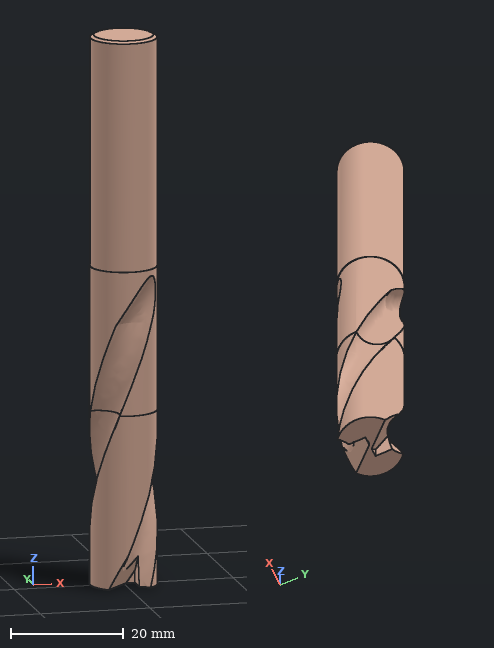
import cadquery as cq
import math

total_length = 100.0
shank_diameter = 12.0
cutter_diameter = 12.1
body_top = 58.0
joint_height = 31.8
shank_chamfer_width = 0.7
shank_chamfer_height = 0.4

flute_count = 2
flute_pitch = 95.0
flute_radius = 3.9
core_radius = 3.0
flute_start_angle = 95.0
helix_top = 48.1
runout_top = 56.8
runout_turn = 34.0
cut_margin = 1.0

gash_heel = cq.Vector(-3.8, -4.7, 0)
gash_inner = cq.Vector(2.1, 1.8, 0)
gash_crest = cq.Vector(-0.9, -5.8, 5.5)

cutter_radius = cutter_diameter / 2
flute_center_radius = core_radius + flute_radius
runout_center_radius = cutter_radius + flute_radius
flute_spacing = 360 / flute_count


def turn_at(height):
    """Turn of the flute helix between the tip and a height, in degrees."""
    return 360 * height / flute_pitch


def flute_circle(height, radius, angle):
    """Section circle of a flute, placed by its polar position."""
    x = radius * math.cos(math.radians(angle))
    y = radius * math.sin(math.radians(angle))
    return cq.Workplane("XY", origin=(0, 0, height)).moveTo(x, y).circle(flute_radius)


def make_helix_cutter():
    height = helix_top + cut_margin
    bottom_angle = flute_start_angle - turn_at(cut_margin)
    section = flute_circle(-cut_margin, flute_center_radius, bottom_angle)
    return section.twistExtrude(height, turn_at(height))


def make_runout_cutter():
    """Straight slanted cylinder that lifts the flute floor out to the surface."""
    start_angle = flute_start_angle + turn_at(helix_top)
    start = flute_circle(helix_top, flute_center_radius, start_angle).wires().val()
    end = flute_circle(runout_top, runout_center_radius, start_angle + runout_turn).wires().val()
    return cq.Workplane(cq.Solid.makeLoft([start, end], True))


def make_gash_cutter():
    """Space in front of the sloping flat, limited sideways by the cutting edge."""
    along = gash_inner - gash_heel
    normal = (gash_heel - gash_crest).cross(along)
    slope = cq.Plane(origin=gash_heel, xDir=along, normal=normal)
    reach = 2 * cutter_diameter
    in_front = cq.Workplane(slope).rect(reach, reach).extrude(reach)
    beside_edge = cq.Workplane("XY").box(reach, reach, reach).translate((gash_inner.x - reach / 2, 0, 0))
    near_tip = (
        cq.Workplane("XY", origin=(0, -reach / 2, -cut_margin))
        .rect(2 * reach, reach)
        .extrude(gash_crest.z + cut_margin)
    )
    return in_front.intersect(beside_edge).intersect(near_tip)


def cut_around(body, cutter):
    """Cut the same shape once for each flute, evenly spaced around the axis."""
    for index in range(flute_count):
        body = body.cut(cutter.rotate((0, 0, 0), (0, 0, 1), index * flute_spacing))
    return body


def make_cutting_tip(helix_cutter):
    tip = cq.Workplane("XY").circle(cutter_radius).extrude(joint_height)
    tip = cut_around(tip, helix_cutter)
    return cut_around(tip, make_gash_cutter())


def make_holder(helix_cutter):
    """Plain shank with the upper part of the fluted body below it."""
    shank_radius = shank_diameter / 2
    holder = (
        cq.Workplane("XZ")
        .moveTo(0, joint_height)
        .lineTo(cutter_radius, joint_height)
        .lineTo(cutter_radius, body_top)
        .lineTo(shank_radius, body_top)
        .lineTo(shank_radius, total_length - shank_chamfer_height)
        .lineTo(shank_radius - shank_chamfer_width, total_length)
        .lineTo(0, total_length)
        .close()
        .revolve(360, (0, 0, 0), (0, 1, 0))
    )
    holder = cut_around(holder, helix_cutter)
    return cut_around(holder, make_runout_cutter())


helix_cutter = make_helix_cutter()
cutting_tip = make_cutting_tip(helix_cutter)
holder = make_holder(helix_cutter)

result = cq.Compound.makeCompound([*cutting_tip.vals(), *holder.vals()])